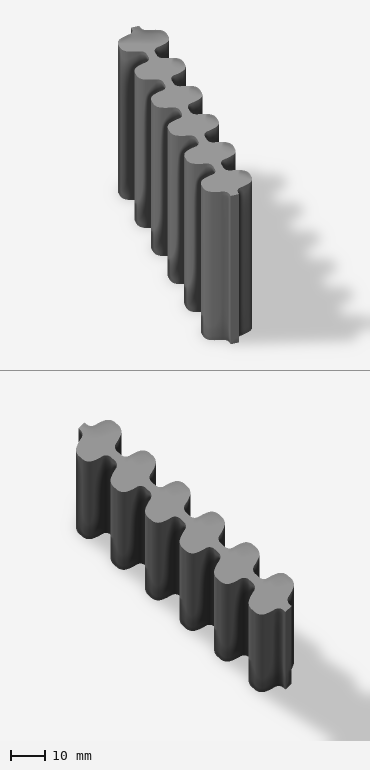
import cadquery as cq
import math

length = 84.0
thickness = 15.0
height = 55.0
lobe_count = 6
web_thickness = 2.6
crest_width = 1.35
root_width = 1.6
crest_radius = 2.85
flank_radius = 11.8
root_radius = 2.0

pitch = length / lobe_count
half_thickness = thickness / 2
half_web = web_thickness / 2
half_crest = crest_width / 2
root_start = (pitch - root_width) / 2


def point_toward(start, end, distance):
    """Point at the given distance from start, in the direction of end."""
    span = math.dist(start, end)
    return tuple(s + (e - s) * distance / span for s, e in zip(start, end))


def circle_intersection(center_a, radius_a, center_b, radius_b):
    """Intersection of two circles that lies to the right when going from a to b."""
    span = math.dist(center_a, center_b)
    ux = (center_b[0] - center_a[0]) / span
    uy = (center_b[1] - center_a[1]) / span
    along = (span**2 + radius_a**2 - radius_b**2) / (2 * span)
    across = math.sqrt(radius_a**2 - along**2)
    return (center_a[0] + along * ux + across * uy, center_a[1] + along * uy - across * ux)


def arc_middle(center, radius, start, end):
    """Middle point of the short arc between two points on a circle."""
    chord_middle = ((start[0] + end[0]) / 2, (start[1] + end[1]) / 2)
    return point_toward(center, chord_middle, radius)


crest_center = (half_crest, half_thickness - crest_radius)
root_center = (root_start, half_web + root_radius)
flank_center = circle_intersection(
    crest_center, flank_radius - crest_radius, root_center, flank_radius + root_radius
)

crest_end = (half_crest, half_thickness)
flank_top = point_toward(flank_center, crest_center, flank_radius)
flank_bottom = point_toward(flank_center, root_center, flank_radius)
root_end = (root_start, half_web)

lobe_side = [
    (crest_end, arc_middle(crest_center, crest_radius, crest_end, flank_top), flank_top),
    (flank_top, arc_middle(flank_center, flank_radius, flank_top, flank_bottom), flank_bottom),
    (flank_bottom, arc_middle(root_center, root_radius, flank_bottom, root_end), root_end),
]


def place(point, axis, x_sign, y_sign):
    """Move a lobe-side point to a lobe at X = axis, mirrored by the two signs."""
    return (axis + x_sign * point[0], y_sign * point[1])


def draw_lobed_edge(outline, axes, direction):
    """Add lobes along +X (direction 1, upper edge) or -X (direction -1, lower edge)."""
    for axis in axes:
        rising = [[place(p, axis, -direction, direction) for p in arc] for arc in lobe_side]
        falling = [[place(p, axis, direction, direction) for p in arc] for arc in lobe_side]

        outline = outline.lineTo(*place(root_end, axis, -direction, direction))
        for start, middle, _ in reversed(rising):
            outline = outline.threePointArc(middle, start)
        outline = outline.lineTo(*place(crest_end, axis, direction, direction))
        for _, middle, end in falling:
            outline = outline.threePointArc(middle, end)
    return outline.lineTo(direction * length / 2, direction * half_web)


lobe_axes = [(i + 0.5) * pitch - length / 2 for i in range(lobe_count)]

profile = cq.Workplane("XY").moveTo(-length / 2, half_web)
profile = draw_lobed_edge(profile, lobe_axes, 1)
profile = profile.lineTo(length / 2, -half_web)
profile = draw_lobed_edge(profile, reversed(lobe_axes), -1)

result = profile.close().extrude(height)